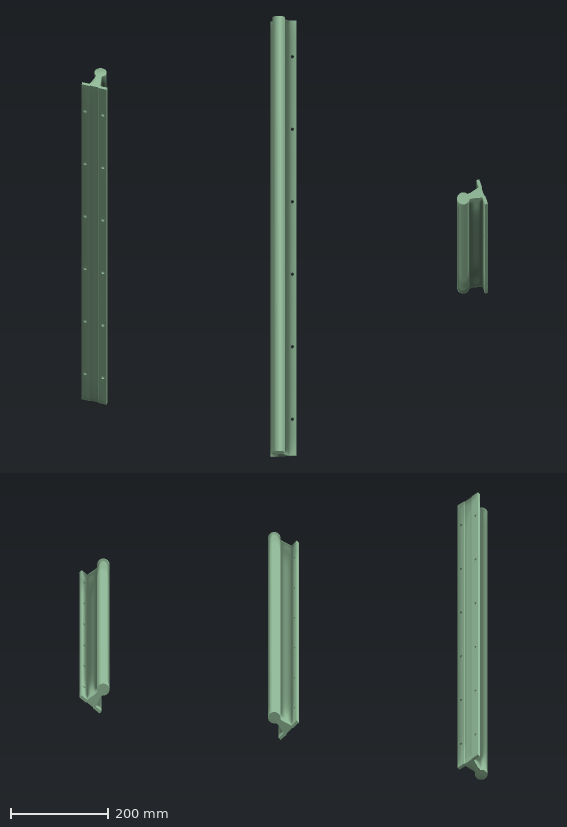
import cadquery as cq

LENGTH = 914.4
BASE_WIDTH = 53.87
OVERALL_HEIGHT = 57.12

SHAFT_DIAMETER = 25.4
BASE_THICKNESS = 6.35
STEM_FOOT_WIDTH = 23.0
TAPER_TOP_Y = 26.5
NECK_WIDTH = 12.7
RELIEF_MOUTH_WIDTH = 19.6
RELIEF_DEPTH = 1.6

HOLE_DIAMETER = 7.0
HOLE_ROWS = 2
HOLE_ROW_SPACING = 38.1
HOLE_PITCH = 152.4
HOLES_PER_ROW = 6

RELIEF_FLOOR_WIDTH = RELIEF_MOUTH_WIDTH - 2 * RELIEF_DEPTH

SHAFT_RADIUS = SHAFT_DIAMETER / 2
SHAFT_CENTER_Y = OVERALL_HEIGHT - SHAFT_RADIUS


def make_support():
    """Base flange, tapered stem and straight neck, extruded along Z up to the shaft centre."""
    half_profile = [
        (RELIEF_FLOOR_WIDTH / 2, RELIEF_DEPTH),
        (RELIEF_MOUTH_WIDTH / 2, 0),
        (BASE_WIDTH / 2, 0),
        (BASE_WIDTH / 2, BASE_THICKNESS),
        (STEM_FOOT_WIDTH / 2, BASE_THICKNESS),
        (NECK_WIDTH / 2, TAPER_TOP_Y),
        (NECK_WIDTH / 2, SHAFT_CENTER_Y),
    ]
    mirrored_half = [(-x, y) for x, y in reversed(half_profile)]
    return cq.Workplane("XY").polyline(half_profile + mirrored_half).close().extrude(LENGTH)


def make_shaft():
    """Round shaft carried on top of the neck."""
    return cq.Workplane("XY").center(0, SHAFT_CENTER_Y).circle(SHAFT_RADIUS).extrude(LENGTH)


def make_mounting_holes():
    """Cutters for two rows of through holes, half a pitch in from each end."""
    return (
        cq.Workplane("XZ")
        .center(0, LENGTH / 2)
        .rarray(HOLE_ROW_SPACING, HOLE_PITCH, HOLE_ROWS, HOLES_PER_ROW)
        .circle(HOLE_DIAMETER / 2)
        .extrude(-BASE_THICKNESS)
    )


result = make_support().union(make_shaft()).cut(make_mounting_holes())